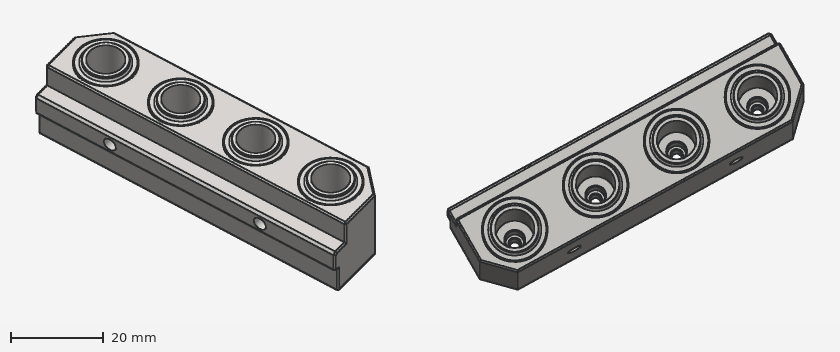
import cadquery as cq

length = 80.0
depth = 20.7
body_height = 19.0
corner_cut = 6.0
edge_chamfer = 0.4

upper_setback = 4.0
lower_setback = 1.2
ledge_bottom = 7.0
ledge_top = 13.0
ledge_chamfer = 0.6

cross_hole_diameter = 3.2
cross_hole_spacing = 40.0
cross_hole_height = (ledge_bottom + ledge_top) / 2

socket_count = 4
socket_pitch = length / socket_count
socket_from_back = 8.5
groove_outer_diameter = 14.2
groove_width = 0.3
collar_top = 20.0
collar_base_diameter = 11.5
collar_neck_diameter = 10.5
collar_neck_height = 0.3
collar_rim_chamfer = 0.2
bore_diameter = 8.5
bore_floor = 8.0
port_diameter = 4.1
port_mouth_diameter = 4.6
port_floor = 4.0
outlet_diameter = 2.3
outlet_mouth_diameter = 2.8

back = depth / 2
front = -depth / 2
socket_y = back - socket_from_back


def make_block():
    """Stepped bar with cut back corners and chamfered outer edges."""
    upper_front = front + upper_setback
    lower_front = front + lower_setback
    section = [
        (back, 0),
        (lower_front, 0),
        (lower_front, ledge_bottom),
        (front, ledge_bottom),
        (front, ledge_top),
        (upper_front, ledge_top),
        (upper_front, body_height),
        (back, body_height),
    ]
    block = cq.Workplane("YZ").polyline(section).close().extrude(length / 2, both=True)
    block = block.edges("|X and <Y").chamfer(ledge_chamfer)
    block = block.edges("|Z and >Y").chamfer(corner_cut)
    end_edges = block.faces("<X or >X").edges("not >Y")
    rim_edges = block.faces("<Z or >Z").edges()
    return rim_edges.add(end_edges).chamfer(edge_chamfer)


def revolve_profile(profile):
    """Solid of revolution about Z from (radius, height) points."""
    return cq.Workplane("XZ").polyline(profile).close().revolve(360, (0, 0), (0, 1))


def make_collar():
    """Raised collar: conical foot, straight neck and chamfered rim."""
    neck = collar_neck_diameter / 2
    neck_top = collar_top - collar_rim_chamfer
    return revolve_profile([
        (0, bore_floor),
        (collar_base_diameter / 2, bore_floor),
        (collar_base_diameter / 2, body_height),
        (neck, neck_top - collar_neck_height),
        (neck, neck_top),
        (neck - collar_rim_chamfer, collar_top),
        (0, collar_top),
    ])


def make_groove():
    """V groove around the collar: upright outer side, slanted inner side."""
    radius = groove_outer_diameter / 2
    return revolve_profile([
        (radius, body_height),
        (radius, body_height - groove_width),
        (radius - groove_width, body_height),
    ])


def make_bore():
    """Stepped bore: wide socket, countersunk port and countersunk outlet."""
    bore = bore_diameter / 2
    port = port_diameter / 2
    port_mouth = port_mouth_diameter / 2
    outlet = outlet_diameter / 2
    outlet_mouth = outlet_mouth_diameter / 2
    return revolve_profile([
        (0, 0),
        (outlet, 0),
        (outlet, port_floor - (outlet_mouth - outlet)),
        (outlet_mouth, port_floor),
        (port, port_floor),
        (port, bore_floor - (port_mouth - port)),
        (port_mouth, bore_floor),
        (bore, bore_floor),
        (bore, collar_top),
        (0, collar_top),
    ])


result = make_block()

collar = make_collar()
socket_cut = make_groove().union(make_bore())
for index in range(socket_count):
    socket_x = (index - (socket_count - 1) / 2) * socket_pitch
    place = (socket_x, socket_y, 0)
    result = result.union(collar.translate(place)).cut(socket_cut.translate(place))

cross_holes = (
    cq.Workplane("XZ")
    .pushPoints([(side * cross_hole_spacing / 2, cross_hole_height) for side in (-1, 1)])
    .circle(cross_hole_diameter / 2)
    .extrude(depth, both=True)
)
result = result.cut(cross_holes)